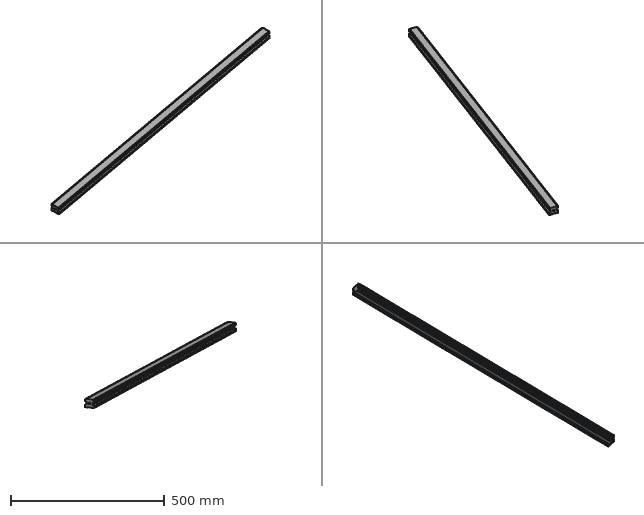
import cadquery as cq

LENGTH = 1080.0
WIDTH = 34.0
HEIGHT = 29.0

RELIEF_DEPTH = 1.0
RELIEF_MOUTH_WIDTH = 16.0
RELIEF_ROOF_WIDTH = 12.0

BASE_CHAMFER = 1.7
BASE_SIDE_TOP = 7.7

NECK_WIDTH = 22.0
NECK_BOTTOM = 11.4
NECK_TOP = 17.2

FLANK_WIDTH = 26.0
FLANK_TOP = 19.0
HEAD_SIDE_BOTTOM = 22.8
HEAD_SIDE_TOP = 26.0
TOP_WIDTH = 27.0

LOWER_GROOVE_DEPTH = 0.8
UPPER_GROOVE_DEPTH = 1.6

END_HOLE_DIAMETER = 6.0
END_HOLE_DEPTH = 15.0
END_HOLE_HEIGHT = HEIGHT / 2


def make_half_rail():
    """Extrude the +X half of the cross-section, from the relief roof round to the top centre."""
    side_x = WIDTH / 2
    neck_x = NECK_WIDTH / 2
    profile = (
        cq.Workplane("XZ")
        .moveTo(0, RELIEF_DEPTH)
        .lineTo(RELIEF_ROOF_WIDTH / 2, RELIEF_DEPTH)
        .lineTo(RELIEF_MOUTH_WIDTH / 2, 0)
        .lineTo(side_x - BASE_CHAMFER, 0)
        .lineTo(side_x, BASE_CHAMFER)
        .lineTo(side_x, BASE_SIDE_TOP)
        .lineTo(neck_x, NECK_BOTTOM)
        .lineTo(neck_x, NECK_TOP)
        .lineTo(FLANK_WIDTH / 2, FLANK_TOP)
        .sagittaArc((side_x, HEAD_SIDE_BOTTOM), LOWER_GROOVE_DEPTH)
        .lineTo(side_x, HEAD_SIDE_TOP)
        .sagittaArc((TOP_WIDTH / 2, HEIGHT), UPPER_GROOVE_DEPTH)
        .lineTo(0, HEIGHT)
        .close()
    )
    return profile.extrude(LENGTH / 2, both=True)


def make_rail():
    """Join the half rail and its mirror image into one clean solid."""
    half_rail = make_half_rail()
    return half_rail.union(half_rail.mirror("YZ")).clean()


def make_end_hole():
    """Cylinder that bores the blind hole into the -Y end face."""
    end_face = cq.Workplane("XZ", origin=(0, -LENGTH / 2, END_HOLE_HEIGHT))
    return end_face.circle(END_HOLE_DIAMETER / 2).extrude(-END_HOLE_DEPTH)


result = make_rail().cut(make_end_hole())